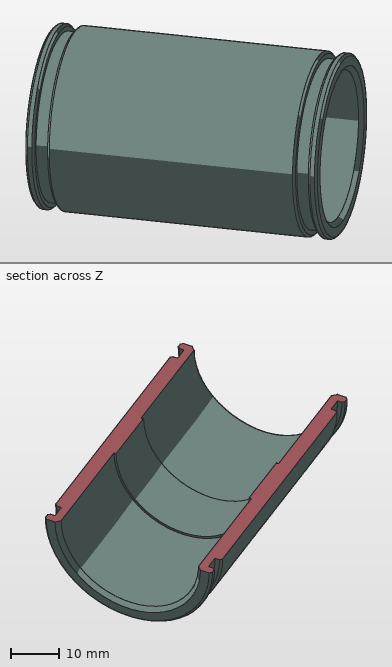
import cadquery as cq

length = 63.0
outer_radius = 39.0 / 2

groove_radius = 36.0 / 2
collar_width = 1.95
groove_width = 2.8
edge_chamfer = 0.5

lip_radius = 31.0 / 2
counterbore_radius = 32.0 / 2
counterbore_depth = 25.2
entry_chamfer = 0.95

half_length = length / 2
chamfered_radius = outer_radius - edge_chamfer
collar_inner_x = half_length - collar_width
body_end_x = collar_inner_x - groove_width
lip_end_x = half_length - counterbore_depth

right_section = [
    (lip_end_x, lip_radius),
    (lip_end_x, counterbore_radius),
    (half_length - entry_chamfer, counterbore_radius),
    (half_length, counterbore_radius + entry_chamfer),
    (half_length, chamfered_radius),
    (half_length - edge_chamfer, outer_radius),
    (collar_inner_x + edge_chamfer, outer_radius),
    (collar_inner_x, chamfered_radius),
    (collar_inner_x, groove_radius),
    (body_end_x, groove_radius),
    (body_end_x, chamfered_radius),
    (body_end_x - edge_chamfer, outer_radius),
]
left_section = [(-x, radius) for x, radius in reversed(right_section)]

wall_section = cq.Workplane("XY").polyline(right_section + left_section).close()
result = wall_section.revolve(360, (0, 0, 0), (1, 0, 0))